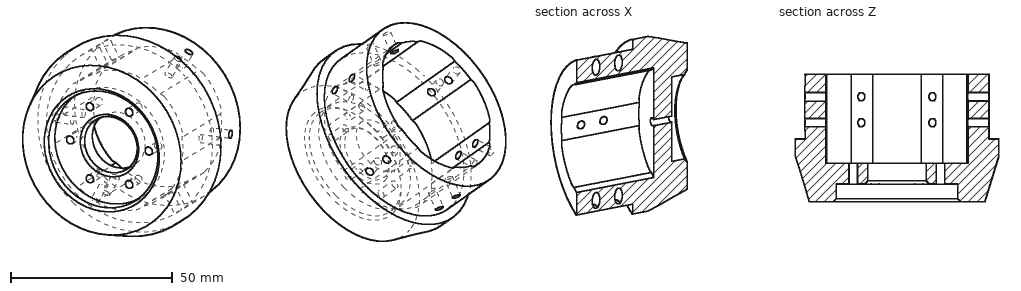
import cadquery as cq
import math

flange_diameter = 63.0
face_diameter = 54.45
sleeve_diameter = 57.0
taper_length = 14.0
band_length = 5.55
sleeve_length = 20.0
total_length = taper_length + band_length + sleeve_length

recess_diameter = 37.5
recess_depth = 5.5
bore_diameter = 18.0
chamfer_size = 1.0

web_thickness = 6.5
cavity_diameter = 44.0
cavity_floor = recess_depth + web_thickness

relief_diameter = 45.0
relief_corner_radius = 3.0
relief_half_angle = 15.4

hole_count = 6
hole_diameter = 2.5
bolt_circle_diameter = 26.95
radial_hole_setbacks = (7.0, 15.0)


def cylinder(diameter, start, length):
    """Cylinder on the Y axis running from start toward +Y."""
    plane = cq.Workplane("XZ", origin=(0, start, 0))
    return plane.circle(diameter / 2).extrude(-length)


def make_body():
    """Tapered nose, straight band and smaller sleeve, revolved about Y."""
    return (
        cq.Workplane("XY")
        .lineTo(face_diameter / 2, 0)
        .lineTo(flange_diameter / 2, taper_length)
        .lineTo(flange_diameter / 2, taper_length + band_length)
        .lineTo(sleeve_diameter / 2, taper_length + band_length)
        .lineTo(sleeve_diameter / 2, total_length)
        .lineTo(0, total_length)
        .close()
        .revolve(360, (0, 0, 0), (0, 1, 0))
    )


def polar_point(radius, angle):
    """Point at a radius and an angle in degrees from the first axis."""
    radians = math.radians(angle)
    return radius * math.cos(radians), radius * math.sin(radians)


def make_reliefs():
    """Curved slots with round ends that widen the cavity between the radial holes."""
    outer_radius = relief_diameter / 2
    corner_circle_radius = outer_radius - relief_corner_radius
    inner_radius = corner_circle_radius - relief_corner_radius
    end_overrun = math.degrees(2 * math.asin(relief_corner_radius / (2 * corner_circle_radius)))
    end_angle = relief_half_angle + end_overrun
    slot = (
        cq.Workplane("XZ", origin=(0, cavity_floor, 0))
        .moveTo(*polar_point(outer_radius, -relief_half_angle))
        .threePointArc((outer_radius, 0), polar_point(outer_radius, relief_half_angle))
        .threePointArc(
            polar_point(corner_circle_radius, end_angle),
            polar_point(inner_radius, relief_half_angle),
        )
        .threePointArc((inner_radius, 0), polar_point(inner_radius, -relief_half_angle))
        .threePointArc(
            polar_point(corner_circle_radius, -end_angle),
            polar_point(outer_radius, -relief_half_angle),
        )
        .close()
        .extrude(cavity_floor - total_length)
    )
    spacing = 360 / hole_count
    reliefs = cq.Workplane("XY")
    for index in range(hole_count):
        reliefs = reliefs.add(slot.rotate((0, 0, 0), (0, 1, 0), (index + 0.5) * spacing))
    return reliefs.combine()


def make_bolt_holes():
    return (
        cq.Workplane("XZ")
        .polarArray(bolt_circle_diameter / 2, 0, 360, hole_count)
        .circle(hole_diameter / 2)
        .extrude(-total_length)
    )


def make_radial_holes():
    """Rings of holes drilled through the sleeve wall toward the axis."""
    holes = cq.Workplane("XY")
    for setback in radial_hole_setbacks:
        for index in range(hole_count):
            hole = (
                cq.Workplane("YZ", origin=(0, total_length - setback, 0))
                .circle(hole_diameter / 2)
                .extrude(flange_diameter / 2)
                .rotate((0, 0, 0), (0, 1, 0), index * 360 / hole_count)
            )
            holes = holes.add(hole)
    return holes.combine()


def chamfered_opening(diameter, start, length):
    """Round cutter with a 45 degree flare at its -Y end."""
    radius = diameter / 2
    return (
        cq.Workplane("XY")
        .moveTo(0, start)
        .lineTo(radius + chamfer_size, start)
        .lineTo(radius, start + chamfer_size)
        .lineTo(radius, start + length)
        .lineTo(0, start + length)
        .close()
        .revolve(360, (0, 0, 0), (0, 1, 0))
    )


result = (
    make_body()
    .cut(chamfered_opening(recess_diameter, 0, recess_depth))
    .cut(chamfered_opening(bore_diameter, recess_depth, total_length - recess_depth))
    .cut(cylinder(cavity_diameter, cavity_floor, total_length - cavity_floor))
    .cut(make_reliefs())
    .cut(make_bolt_holes())
    .cut(make_radial_holes())
)